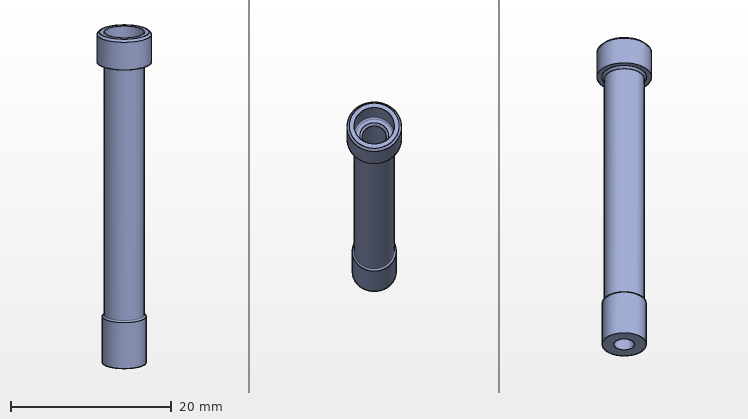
import cadquery as cq
import math

total_length = 43.0
head_diameter = 6.8
head_height = 3.9
head_chamfer = 0.3
shank_diameter = 5.0
neck_chamfer = 0.3

end_diameter = 5.5
end_length = 6.0
end_fillet = 0.2

socket_diameter = 5.0
socket_depth = 3.0
socket_floor_fillet = 0.2
bore_diameter = 3.0
bore_entry_chamfer = 0.3
throat_diameter = 2.57
throat_length = end_length

head_radius = head_diameter / 2
shank_radius = shank_diameter / 2
end_radius = end_diameter / 2
socket_radius = socket_diameter / 2
bore_radius = bore_diameter / 2
throat_radius = throat_diameter / 2
head_bottom = total_length - head_height
socket_floor = total_length - socket_depth

ARC_MIDDLE = 1 - math.sqrt(0.5)


def outer_body():
    """Solid of revolution: enlarged end, shank with a flared neck, and chamfered head."""
    end_middle = ARC_MIDDLE * end_fillet
    return (
        cq.Workplane("XZ")
        .lineTo(end_radius, 0)
        .lineTo(end_radius, end_length)
        .lineTo(shank_radius + end_fillet, end_length)
        .threePointArc(
            (shank_radius + end_middle, end_length + end_middle),
            (shank_radius, end_length + end_fillet),
        )
        .lineTo(shank_radius, head_bottom - neck_chamfer)
        .lineTo(shank_radius + neck_chamfer, head_bottom)
        .lineTo(head_radius, head_bottom)
        .lineTo(head_radius, total_length - head_chamfer)
        .lineTo(head_radius - head_chamfer, total_length)
        .lineTo(0, total_length)
        .close()
        .revolve(360, (0, 0), (0, 1))
    )


def axial_bore():
    """Space inside: narrow throat, 45 degree step to the bore, countersink and filleted socket."""
    floor_middle = ARC_MIDDLE * socket_floor_fillet
    return (
        cq.Workplane("XZ")
        .lineTo(throat_radius, 0)
        .lineTo(throat_radius, throat_length)
        .lineTo(bore_radius, throat_length + bore_radius - throat_radius)
        .lineTo(bore_radius, socket_floor - bore_entry_chamfer)
        .lineTo(bore_radius + bore_entry_chamfer, socket_floor)
        .lineTo(socket_radius - socket_floor_fillet, socket_floor)
        .threePointArc(
            (socket_radius - floor_middle, socket_floor + floor_middle),
            (socket_radius, socket_floor + socket_floor_fillet),
        )
        .lineTo(socket_radius, total_length)
        .lineTo(0, total_length)
        .close()
        .revolve(360, (0, 0), (0, 1))
    )


result = outer_body().cut(axial_bore())